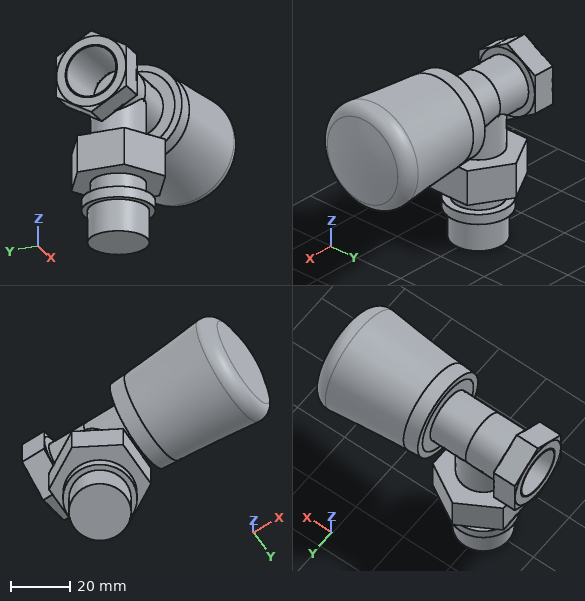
import cadquery as cq
import math


INLET_NUT_LENGTH = 9.0
RISER_X = 23.1
KNOB_FACE_X = 38.1
HEAD_FACE_X = 44.1
KNOB_RIM_X = 75.0
DOME_EDGE_X = 81.0
DOME_TIP_X = 84.0

ARM_DIAMETER = 20.0
COLLAR_DIAMETER = 25.5
LINER_DIAMETER = 19.1
LINER_BORE = 18.2
INLET_NUT_CORNERS = 29.9
HEAD_DIAMETER = 34.1
INSERT_DIAMETER = 28.6

KNOB_FACE_RADIUS = 16.9
KNOB_RIM_RADIUS = 20.1
KNOB_SIDE_SAG = 0.25
DOME_EDGE_RADIUS = 16.2

UNION_NUT_TOP = -19.0
UNION_NUT_HEIGHT = 13.4
FLANGE_TOP = -38.55
FLANGE_HEIGHT = 3.9
SPIGOT_BOTTOM = -54.0

RISER_DIAMETER = 19.0
UNION_NUT_FLATS = 30.0
FLANGE_DIAMETER = 25.0
SPIGOT_DIAMETER = 21.0

JOINT_Z = UNION_NUT_TOP - UNION_NUT_HEIGHT / 2


def x_cylinder(diameter, start, end):
    """Cylinder on the main axis between two X stations."""
    return cq.Workplane("YZ", origin=(start, 0, 0)).circle(diameter / 2).extrude(end - start)


def z_cylinder(diameter, top, bottom):
    """Cylinder on the riser axis between two Z levels."""
    return cq.Workplane("XY", origin=(RISER_X, 0, bottom)).circle(diameter / 2).extrude(top - bottom)


def make_inlet_nut():
    """Hexagon nut around the inlet collar, with corners at top and bottom."""
    hexagon = (
        cq.Workplane("YZ")
        .transformed(rotate=(0, 0, 90))
        .polygon(6, INLET_NUT_CORNERS)
        .extrude(INLET_NUT_LENGTH)
    )
    return hexagon.cut(x_cylinder(COLLAR_DIAMETER, 0, INLET_NUT_LENGTH))


def make_inlet_arm():
    """Sleeve with a collar that fills the inlet nut, bored through for the liner."""
    collar = x_cylinder(COLLAR_DIAMETER, 0, INLET_NUT_LENGTH)
    arm = x_cylinder(ARM_DIAMETER, 0, RISER_X)
    return arm.union(collar).cut(x_cylinder(LINER_DIAMETER, 0, RISER_X))


def make_liner():
    """Thin tube inside the inlet arm."""
    return x_cylinder(LINER_DIAMETER, 0, RISER_X).cut(x_cylinder(LINER_BORE, 0, RISER_X))


def make_outlet_arm():
    """Solid arm that ends in a wide head enclosed by the knob."""
    arm = x_cylinder(ARM_DIAMETER, RISER_X, HEAD_FACE_X)
    return arm.union(x_cylinder(HEAD_DIAMETER, HEAD_FACE_X, KNOB_RIM_X))


def make_knob_insert():
    """Ring that fills the mouth of the knob around the outlet arm."""
    ring = x_cylinder(INSERT_DIAMETER, KNOB_FACE_X, HEAD_FACE_X)
    return ring.cut(x_cylinder(ARM_DIAMETER, KNOB_FACE_X, HEAD_FACE_X))


def make_knob():
    """Flared handle with a rounded rim and a domed end, hollowed for the insert and the head."""
    side_middle = (
        (KNOB_FACE_X + KNOB_RIM_X) / 2,
        (KNOB_FACE_RADIUS + KNOB_RIM_RADIUS) / 2 - KNOB_SIDE_SAG,
    )
    dome_height = DOME_TIP_X - DOME_EDGE_X
    dome_radius = (DOME_EDGE_RADIUS**2 + dome_height**2) / (2 * dome_height)
    half_angle = math.asin(DOME_EDGE_RADIUS / dome_radius) / 2
    dome_middle = (
        DOME_TIP_X - dome_radius * (1 - math.cos(half_angle)),
        dome_radius * math.sin(half_angle),
    )
    profile = (
        cq.Workplane("XY")
        .moveTo(KNOB_FACE_X, 0)
        .lineTo(KNOB_FACE_X, KNOB_FACE_RADIUS)
        .threePointArc(side_middle, (KNOB_RIM_X, KNOB_RIM_RADIUS))
        .tangentArcPoint((DOME_EDGE_X, DOME_EDGE_RADIUS), relative=False)
        .threePointArc(dome_middle, (DOME_TIP_X, 0))
        .close()
    )
    blank = profile.revolve(360, (0, 0, 0), (1, 0, 0))
    mouth = x_cylinder(INSERT_DIAMETER, KNOB_FACE_X, HEAD_FACE_X)
    head_cavity = x_cylinder(HEAD_DIAMETER, HEAD_FACE_X, KNOB_RIM_X)
    return blank.cut(mouth).cut(head_cavity)


def make_riser():
    """Pipe saddled against the underside of the two arms."""
    pipe = z_cylinder(RISER_DIAMETER, 0, JOINT_Z)
    return pipe.cut(x_cylinder(ARM_DIAMETER, 0, KNOB_FACE_X))


def make_union_nut():
    """Hexagon nut around the joint of riser and tailpiece, with flats facing -X and +X."""
    hexagon = (
        cq.Workplane("XY", origin=(RISER_X, 0, UNION_NUT_TOP))
        .polygon(6, UNION_NUT_FLATS, circumscribed=True)
        .extrude(-UNION_NUT_HEIGHT)
    )
    bore = z_cylinder(RISER_DIAMETER, UNION_NUT_TOP, UNION_NUT_TOP - UNION_NUT_HEIGHT)
    return hexagon.cut(bore)


def make_tailpiece():
    """Pipe stub, flange and spigot below the riser."""
    flange_bottom = FLANGE_TOP - FLANGE_HEIGHT
    stub = z_cylinder(RISER_DIAMETER, JOINT_Z, FLANGE_TOP)
    flange = z_cylinder(FLANGE_DIAMETER, FLANGE_TOP, flange_bottom)
    spigot = z_cylinder(SPIGOT_DIAMETER, flange_bottom, SPIGOT_BOTTOM)
    return stub.union(flange).union(spigot)


inlet_nut = make_inlet_nut()
inlet_arm = make_inlet_arm()
liner = make_liner()
outlet_arm = make_outlet_arm()
knob_insert = make_knob_insert()
knob = make_knob()
riser = make_riser()
union_nut = make_union_nut()
tailpiece = make_tailpiece()

result = cq.Compound.makeCompound(
    [
        inlet_nut.val(),
        inlet_arm.val(),
        liner.val(),
        outlet_arm.val(),
        knob_insert.val(),
        knob.val(),
        riser.val(),
        union_nut.val(),
        tailpiece.val(),
    ]
)